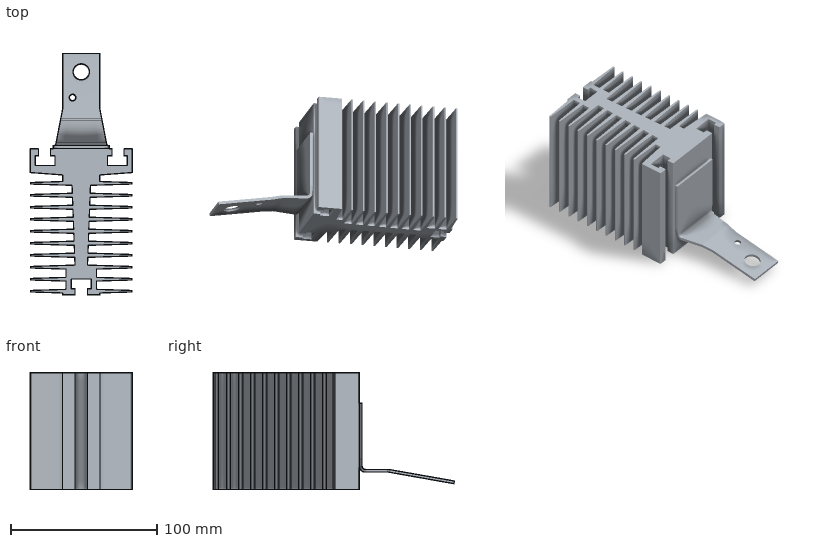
import cadquery as cq
import math

LENGTH = 165.1
SINK_WIDTH = 70.0
SINK_DEPTH = 100.0
SINK_HEIGHT = 80.0

FLANGE_EDGE_DEPTH = 16.5
FLANGE_ROOT_DEPTH = 18.2
NECK_WIDTH = 25.5
HEAD_SLOT_X = 24.8
HEAD_SLOT_WIDTH = 13.4
HEAD_SLOT_DEPTH = 11.5
HEAD_MOUTH_INNER = 21.1
HEAD_MOUTH_OUTER = 29.2
HEAD_LIP = 5.0
LIP_FILLET = 0.7

WEB_TOP_WIDTH = 12.9
WEB_BOTTOM_WIDTH = 8.6
FIN_COUNT = 10
FIRST_FIN_Y = 2.5
LAST_FIN_Y = 76.3
FIN_PITCH = (LAST_FIN_Y - FIRST_FIN_Y) / (FIN_COUNT - 1)
FIN_SPAN = 69.4
FIN_TIP = 1.2
FIN_TAPER = 0.031
FIN_FILLET = 0.58

FOOT_WIDTH = 21.1
FOOT_TOP_Y = FIRST_FIN_Y + 2 * FIN_PITCH
PAD_WIDTH = NECK_WIDTH
FOOT_SLOT_WIDTH = 13.5
FOOT_SLOT_DEPTH = 10.7
FOOT_MOUTH = 8.3
FOOT_LIP = 4.3

SHEET = 2.0
PLATE_WIDTH = 38.3
TAB_WIDTH = NECK_WIDTH
PLATE_TOP_Z = 59.1
TAPER_START_Z = 20.8
LEG_BOTTOM_Z = 11.9
PLATE_BEND = 3.0
TAB_BEND_Y = 19.3
TAB_BEND = 5.0
TAB_ANGLE = 10.0
TAPER_END_Y = 27.2
STUD_HOLE = 11.0
STUD_HOLE_INSET = 12.7
PILOT_HOLE = 4.5
PILOT_HOLE_INSET = 30.5
PILOT_HOLE_X = -6.0


def prism(points):
    return cq.Workplane("XY").polyline(points).close().extrude(SINK_HEIGHT)


def block(width, y_low, y_high, x=0.0):
    """Full-height block centred on x."""
    return (
        cq.Workplane("XY")
        .center(x, (y_low + y_high) / 2)
        .rect(width, y_high - y_low)
        .extrude(SINK_HEIGHT)
    )


def head():
    edge, neck = SINK_WIDTH / 2, NECK_WIDTH / 2
    edge_y = SINK_DEPTH - FLANGE_EDGE_DEPTH
    root_y = SINK_DEPTH - FLANGE_ROOT_DEPTH
    body = prism([
        (-edge, SINK_DEPTH), (-edge, edge_y), (-neck, root_y), (-neck, LAST_FIN_Y),
        (neck, LAST_FIN_Y), (neck, root_y), (edge, edge_y), (edge, SINK_DEPTH),
    ])
    mouth_width = HEAD_MOUTH_OUTER - HEAD_MOUTH_INNER
    mouth_x = (HEAD_MOUTH_OUTER + HEAD_MOUTH_INNER) / 2
    slot_low, slot_high = SINK_DEPTH - HEAD_SLOT_DEPTH, SINK_DEPTH - HEAD_LIP
    for side in (-1, 1):
        body = body.cut(block(HEAD_SLOT_WIDTH, slot_low, slot_high, side * HEAD_SLOT_X))
        body = body.cut(block(mouth_width, slot_low, SINK_DEPTH, side * mouth_x))
    return body.faces(">Y").edges("|Z").fillet(LIP_FILLET)


def web():
    top, bottom = WEB_TOP_WIDTH / 2, WEB_BOTTOM_WIDTH / 2
    return prism([
        (-bottom, FOOT_TOP_Y), (bottom, FOOT_TOP_Y), (top, LAST_FIN_Y), (-top, LAST_FIN_Y),
    ])


def fin(y):
    """Fin pair across the web, thickest in the middle, with rounded tips."""
    end, tip = FIN_SPAN / 2, FIN_TIP / 2
    middle = tip + end * FIN_TAPER
    pair = prism([
        (-end, y - tip), (0, y - middle), (end, y - tip),
        (end, y + tip), (0, y + middle), (-end, y + tip),
    ])
    return pair.edges("|Z and (<X or >X)").fillet(FIN_FILLET)


def make_heatsink():
    sink = head().union(web())
    sink = sink.union(block(FOOT_WIDTH, 0, FOOT_TOP_Y))
    sink = sink.union(block(PAD_WIDTH, 0, FIRST_FIN_Y))
    for i in range(FIN_COUNT):
        sink = sink.union(fin(FIRST_FIN_Y + i * FIN_PITCH))
    sink = sink.cut(block(FOOT_SLOT_WIDTH, FOOT_LIP, FOOT_SLOT_DEPTH))
    return sink.cut(block(FOOT_MOUTH, 0, FOOT_SLOT_DEPTH))


def section_plane(station):
    y, z, tilt = station
    angle = math.radians(tilt)
    return cq.Plane((0, y, z), (1, 0, 0), (0, math.cos(angle), math.sin(angle)))


def straight(start, length, width_start, width_end):
    """Flat stretch of strip and the station at its end."""
    solid = (
        cq.Workplane(section_plane(start))
        .rect(width_start, SHEET)
        .workplane(offset=length)
        .rect(width_end, SHEET)
        .loft(ruled=True)
    )
    y, z, tilt = start
    angle = math.radians(tilt)
    return solid, (y + length * math.cos(angle), z + length * math.sin(angle), tilt)


def bend(start, radius, turn, width_start, width_end):
    """Bent stretch of strip, turning up when turn is positive, and its end station."""
    y, z, tilt = start
    side = math.copysign(1, turn)

    def station(angle_turned):
        before, after = math.radians(tilt), math.radians(tilt + angle_turned)
        return (
            y + side * radius * (math.sin(after) - math.sin(before)),
            z - side * radius * (math.cos(after) - math.cos(before)),
            tilt + angle_turned,
        )

    middle, end = station(turn / 2), station(turn)
    path = cq.Workplane("YZ").moveTo(y, z).threePointArc(middle[:2], end[:2])
    solid = (
        cq.Workplane(section_plane(start))
        .rect(width_start, SHEET)
        .add(cq.Workplane(section_plane(end)).rect(width_end, SHEET))
        .toPending()
        .sweep(path, multisection=True)
    )
    return solid, end


def make_terminal():
    middle_z = LEG_BOTTOM_Z + SHEET / 2
    tilt = math.radians(TAB_ANGLE)

    plate_length = PLATE_TOP_Z - TAPER_START_Z
    drop_length = TAPER_START_Z - middle_z - PLATE_BEND
    plate_bend_length = PLATE_BEND * math.pi / 2
    leg_length = TAB_BEND_Y - SHEET / 2 - PLATE_BEND
    tab_bend_length = TAB_BEND * tilt
    tab_start = TAB_BEND_Y + TAB_BEND * math.sin(tilt)
    tab_taper_length = (TAPER_END_Y - tab_start) / math.cos(tilt)
    tip_y = LENGTH - SINK_DEPTH - SHEET / 2 * math.sin(tilt)
    tab_length = (tip_y - TAPER_END_Y) / math.cos(tilt)

    taper_total = drop_length + plate_bend_length + leg_length + tab_bend_length + tab_taper_length

    def width_at(distance):
        return PLATE_WIDTH + (TAB_WIDTH - PLATE_WIDTH) * distance / taper_total

    tapered_stretches = [
        (drop_length, 0, 0),
        (plate_bend_length, 90, PLATE_BEND),
        (leg_length, 0, 0),
        (tab_bend_length, -TAB_ANGLE, TAB_BEND),
        (tab_taper_length, 0, 0),
    ]
    top = (SINK_DEPTH + SHEET / 2, PLATE_TOP_Z, -90)
    strip, station = straight(top, plate_length, PLATE_WIDTH, PLATE_WIDTH)
    distance = 0
    for length, turn, radius in tapered_stretches:
        widths = (width_at(distance), width_at(distance + length))
        if turn:
            stretch, station = bend(station, radius, turn, *widths)
        else:
            stretch, station = straight(station, length, *widths)
        strip = strip.union(stretch)
        distance += length
    tab, tab_end = straight(station, tab_length, TAB_WIDTH, TAB_WIDTH)
    strip = strip.union(tab)

    for diameter, inset, x in (
        (STUD_HOLE, STUD_HOLE_INSET, 0),
        (PILOT_HOLE, PILOT_HOLE_INSET, PILOT_HOLE_X),
    ):
        strip = strip.cut(tab_hole(tab_end, diameter, inset, x))
    return strip


def tab_hole(tab_end, diameter, inset, x):
    """Cylinder square to the tab, inset from its end."""
    y, z, tilt = tab_end
    angle = math.radians(tilt)
    centre = (x, y - inset * math.cos(angle), z - inset * math.sin(angle))
    normal = (0, -math.sin(angle), math.cos(angle))
    plane = cq.Plane(centre, (1, 0, 0), normal)
    return cq.Workplane(plane).circle(diameter / 2).extrude(SHEET, both=True)


heatsink = make_heatsink()
terminal = make_terminal()
result = cq.Compound.makeCompound([heatsink.solids().val(), terminal.solids().val()])